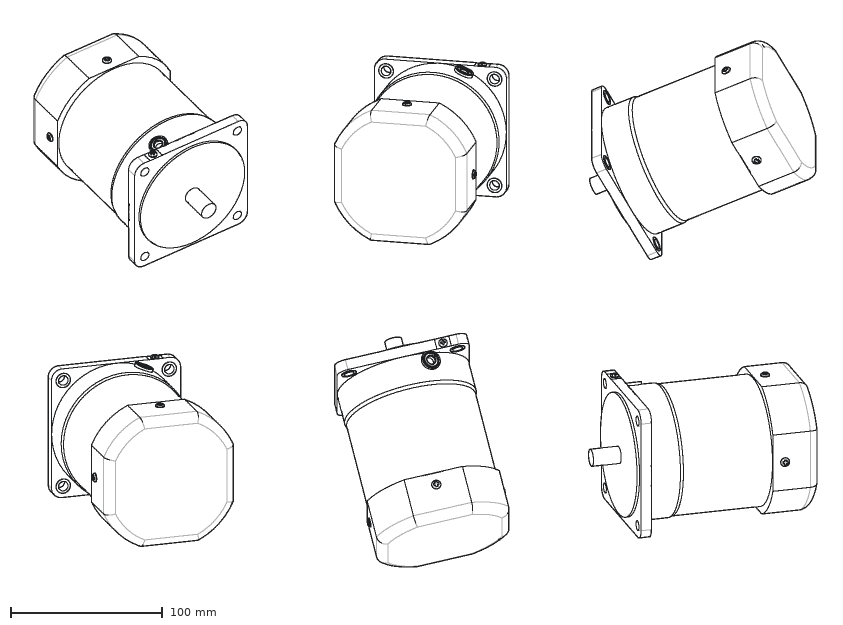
import cadquery as cq
import math


cover_length = 32.1
housing_end = 93.5
shoulder_start = 95.8
flange_back = 115.8
flange_front = 123.0
pilot_front = 124.8
shaft_end = 143.9

frame_size = 89.8
half_frame = frame_size / 2
cover_diameter = 98.1
cover_edge_radius = 6.2
housing_diameter = 87.9
shoulder_diameter = 89.6
pilot_diameter = 83.0
shaft_diameter = 11.5

flange_corner_radius = 7.3
hole_offset = 36.8
hole_diameter = 6.5
hole_boss_diameter = 10.0
hole_boss_height = 0.5

screw_sink = 0.5
screw_rim_height = 0.5
cross_depth = 1.2
cover_screw_x = 23.7
cover_screw_diameter = 6.0
cover_screw_height = 2.2
cover_cross_length = 3.5
cover_cross_width = 1.5
ground_screw_x = 119.0
ground_screw_y = -27.8
ground_screw_diameter = 5.6
ground_screw_height = 1.9
ground_cross_length = 3.0
ground_cross_width = 0.9

recess_width = 9.8
recess_depth = 0.1

bushing_x = 110.2
bushing_tilt = 22.5
bushing_top = 46.5
bushing_root = 40.3
bushing_diameter = 12.7
bushing_groove_outer = 10.8
bushing_groove_inner = 9.5
bushing_groove_depth = 0.6
bushing_mouth_diameter = 6.5
bushing_mouth_depth = 0.9
bushing_bore_diameter = 5.6
bushing_bore_depth = 3.6


def rod(x_start, x_end, diameter):
    """Cylinder on the motor axis."""
    return cq.Workplane("YZ", origin=(x_start, 0, 0)).circle(diameter / 2).extrude(x_end - x_start)


def square_block(x_start, x_end):
    """Square prism of the frame size on the motor axis."""
    plane = cq.Workplane("YZ", origin=(x_start, 0, 0))
    return plane.rect(frame_size, frame_size).extrude(x_end - x_start)


def make_cover():
    """Rear cover: a cylinder flattened on four sides, with a rounded closed end."""
    cover = square_block(0, cover_length).intersect(rod(0, cover_length, cover_diameter))
    return cover.faces("<X").edges().fillet(cover_edge_radius)


def make_housing():
    """Turned profile from the cover through the shoulder, flange pilot and shaft."""
    shoulder = [
        (cover_length, 0),
        (cover_length, housing_diameter / 2),
        (housing_end, housing_diameter / 2),
        (shoulder_start, shoulder_diameter / 2),
        (flange_back, shoulder_diameter / 2),
        (flange_back, 0),
    ]
    body = cq.Workplane("XY").polyline(shoulder).close().revolve(360, (0, 0, 0), (1, 0, 0))
    pilot = rod(flange_front, pilot_front, pilot_diameter)
    shaft = rod(pilot_front, shaft_end, shaft_diameter)
    return body.union(pilot).union(shaft)


def make_flange():
    """Square mounting flange with raised rings around its holes and a screw recess on top."""
    flange = square_block(flange_back, flange_front).edges("|X").fillet(flange_corner_radius)
    hole_points = [(y * hole_offset, z * hole_offset) for y in (-1, 1) for z in (-1, 1)]
    back_plane = cq.Workplane("YZ", origin=(flange_back - hole_boss_height, 0, 0))
    bosses = back_plane.pushPoints(hole_points).circle(hole_boss_diameter / 2).extrude(hole_boss_height)
    thickness = flange_front - flange_back
    recess = cq.Workplane("XY").box(thickness, recess_width, 2 * recess_depth)
    recess = recess.translate((flange_back + thickness / 2, ground_screw_y, half_frame))
    return flange.union(bosses).cut(recess), hole_points


def make_holes(hole_points):
    """Through holes of the flange, including their raised rings."""
    plane = cq.Workplane("YZ", origin=(flange_back - hole_boss_height, 0, 0))
    depth = flange_front - flange_back + hole_boss_height
    return plane.pushPoints(hole_points).circle(hole_diameter / 2).extrude(depth)


def make_screw(diameter, height, cross_length, cross_width):
    """Screw head with a short rim and a dome, standing on the +Z frame face, with a cross recess."""
    radius = diameter / 2
    dome_height = height - screw_rim_height
    dome_radius = (radius**2 + dome_height**2) / (2 * dome_height)
    half_angle = math.asin(radius / dome_radius) / 2
    dome_middle = (
        dome_radius * math.sin(half_angle),
        height - dome_radius * (1 - math.cos(half_angle)),
    )
    profile = cq.Workplane("XZ").moveTo(0, -screw_sink).lineTo(radius, -screw_sink)
    profile = profile.lineTo(radius, screw_rim_height).threePointArc(dome_middle, (0, height)).close()
    head = profile.revolve(360, (0, 0, 0), (0, 1, 0))
    top = cq.Workplane("XY", origin=(0, 0, height))
    for size in ((cross_length, cross_width), (cross_width, cross_length)):
        head = head.cut(top.rect(*size).extrude(-cross_depth))
    return head.translate((0, 0, half_frame))


def make_bushing():
    """Cable bushing, upright on +Z, with a ring groove in its top face."""
    sleeve = cq.Workplane("XY", origin=(0, 0, bushing_root)).circle(bushing_diameter / 2)
    sleeve = sleeve.extrude(bushing_top - bushing_root)
    top = cq.Workplane("XY", origin=(0, 0, bushing_top))
    groove = top.circle(bushing_groove_outer / 2).circle(bushing_groove_inner / 2)
    return sleeve.cut(groove.extrude(-bushing_groove_depth))


def make_bushing_bore():
    """Stepped blind bore of the bushing, reaching into the housing."""
    top = cq.Workplane("XY", origin=(0, 0, bushing_top))
    mouth = top.circle(bushing_mouth_diameter / 2).extrude(-bushing_mouth_depth)
    return mouth.union(top.circle(bushing_bore_diameter / 2).extrude(-bushing_bore_depth))


def place_bushing(shape):
    """Tilt about the motor axis toward -Y and move to the bushing position."""
    return shape.rotate((0, 0, 0), (1, 0, 0), bushing_tilt).translate((bushing_x, 0, 0))


flange, hole_points = make_flange()
result = make_cover().union(make_housing()).union(flange)
result = result.cut(make_holes(hole_points))
result = result.union(place_bushing(make_bushing())).cut(place_bushing(make_bushing_bore()))

cover_screw = make_screw(
    cover_screw_diameter, cover_screw_height, cover_cross_length, cover_cross_width
).translate((cover_screw_x, 0, 0))
for turn in range(4):
    result = result.union(cover_screw.rotate((0, 0, 0), (1, 0, 0), 90 * turn))

ground_screw = make_screw(
    ground_screw_diameter, ground_screw_height, ground_cross_length, ground_cross_width
).translate((ground_screw_x, ground_screw_y, 0))
result = result.union(ground_screw)